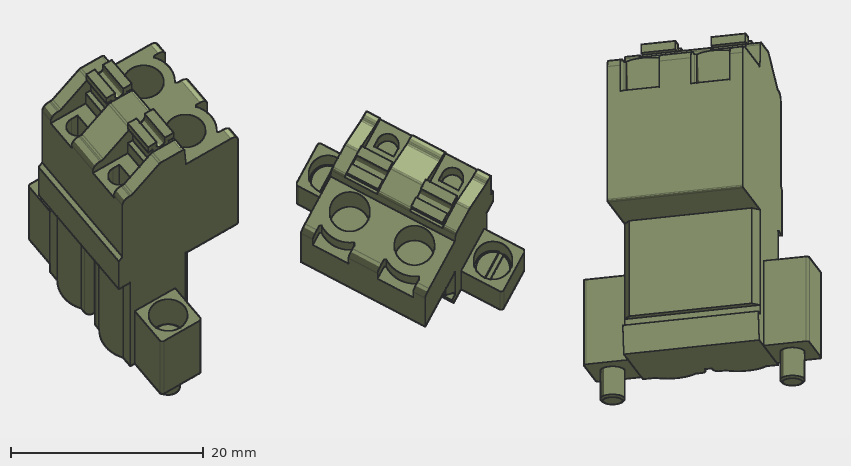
import cadquery as cq
import math


TOTAL_HEIGHT = 38.03
TOTAL_WIDTH = 24.3
POLE_PITCH = 7.6
HOUSING_WIDTH = 14.6

SCREW_TIP_DROP = 3.35
LEVER_TOP = TOTAL_HEIGHT - SCREW_TIP_DROP
TOWER_TOP = 33.5
BLOCK_TOP = 30.65
BLOCK_BOTTOM = 14.68
COLLAR_TOP = 20.0
COLLAR_BOTTOM = 15.02
LATCH_TOP = 3.08
RIB_BOTTOM = 4.05

BLOCK_BACK = 10.5
BLOCK_FRONT = -4.1
COLLAR_FRONT = -4.55
PLUG_BACK = 3.85
PLUG_FRONT = -3.1
RIB_BACK = 4.55
LATCH_TOE_BACK = 4.2
TOWER_BACK_FOOT = 3.9
TOWER_BACK_TOP = 3.73
TOWER_FRONT_TOP = 0.65
TOWER_FRONT_FOOT = -2.9

BLOCK_ROUND = 0.9
BLOCK_BOTTOM_ROUND = 0.23
TOWER_BACK_ROUND = 0.35
TOWER_SLOPE_ROUND = 0.38

BULGE_CHORD = 4.37
BULGE_RISE = 0.7
GROOVE_WIDTH = 0.75
GROOVE_DEPTH = 0.95
GROOVE_LIP_ROUND = 0.65

WIRE_HOLE_DIAMETER = 4.2
WIRE_HOLE_Y = 6.27
WIRE_HOLE_DEPTH = 7.6
RELIEF_FRONT = 8.95
RELIEF_WALL_RADIUS = 3.27
RELIEF_DEPTH = 3.8
RELIEF_CORNER_ROUND = 0.23

POCKET_INNER_X = 1.95
POCKET_OUTER_X = 5.75
POCKET_FLOOR = 29.32
LEDGE_FRONT = 0.3
LEDGE_TOP = 31.15
BACK_SHELF_Z = 33.15
TEST_WIDTH = 2.32
TEST_BACK = -1.25
TEST_FRONT = -3.25
TEST_DEPTH = 3.8

LEVER_WIDTH = 3.7
LEVER_HEAD_LENGTH = 3.25
LEVER_HEAD_HEIGHT = 0.95
LEVER_STEM_LENGTH = 2.0
LEVER_Y = 1.9
LEVER_NOTCH_WIDTH = 1.03
LEVER_NOTCH_DEPTH = 1.1

FLANGE_DEPTH = 5.1
FLANGE_HEIGHT = 9.47
FLANGE_CORNER_ROUND = 0.3
FLANGE_BORE_DIAMETER = 4.05
FLANGE_BORE_FLOOR = 3.05

SCREW_X = 9.7
SHANK_DIAMETER = 2.55
SHANK_TIP_CHAMFER = 0.23
HEAD_DIAMETER = 3.88
HEAD_HEIGHT = 2.3
HEAD_CHAMFER = 0.2
SCREW_SLOT_WIDTH = 0.57
SCREW_SLOT_DEPTH = 0.75

POLE_XS = (-POLE_PITCH / 2, POLE_PITCH / 2)
SIDES = (-1, 1)


def box(x_range, y_range, z_range):
    """Axis-aligned block between two limits on each axis."""
    (x0, x1), (y0, y1), (z0, z1) = (sorted(limits) for limits in (x_range, y_range, z_range))
    return cq.Workplane("XY").box(x1 - x0, y1 - y0, z1 - z0, centered=False).translate((x0, y0, z0))


def plan(z):
    """Sketch plane parallel to XY at height z."""
    return cq.Workplane("XY").workplane(offset=z)


def at(y, z):
    """Selector for the X-running edge nearest to a point of the side profile."""
    return cq.selectors.NearestToPointSelector((0, y, z))


def housing_body():
    """Side profile of block, tower, collar and plug, swept across the width."""
    collar_chamfer = BLOCK_FRONT - COLLAR_FRONT
    profile = [
        (LATCH_TOE_BACK, 0),
        (RIB_BACK, LATCH_TOP),
        (PLUG_BACK, LATCH_TOP),
        (PLUG_BACK, BLOCK_BOTTOM),
        (BLOCK_BACK, BLOCK_BOTTOM),
        (BLOCK_BACK, BLOCK_TOP),
        (TOWER_BACK_FOOT, BLOCK_TOP),
        (TOWER_BACK_TOP, TOWER_TOP),
        (TOWER_FRONT_TOP, TOWER_TOP),
        (TOWER_FRONT_FOOT, BLOCK_TOP),
        (BLOCK_FRONT, BLOCK_TOP),
        (BLOCK_FRONT, COLLAR_TOP + collar_chamfer),
        (COLLAR_FRONT, COLLAR_TOP),
        (COLLAR_FRONT, COLLAR_BOTTOM),
        (PLUG_FRONT, COLLAR_BOTTOM),
        (PLUG_FRONT, 0),
    ]
    body = cq.Workplane("YZ").polyline(profile).close().extrude(HOUSING_WIDTH / 2, both=True)
    body = body.edges(at(BLOCK_BACK, BLOCK_TOP)).fillet(BLOCK_ROUND)
    body = body.edges(at(BLOCK_FRONT, BLOCK_TOP)).fillet(BLOCK_ROUND)
    body = body.edges(at(BLOCK_BACK, BLOCK_BOTTOM)).fillet(BLOCK_BOTTOM_ROUND)
    body = body.edges(at(TOWER_BACK_TOP, TOWER_TOP)).fillet(TOWER_BACK_ROUND)
    body = body.edges(at(TOWER_FRONT_TOP, TOWER_TOP)).fillet(TOWER_SLOPE_ROUND)
    return body.edges(at(TOWER_FRONT_FOOT, BLOCK_TOP)).fillet(TOWER_SLOPE_ROUND)


def back_rib():
    """Rib on the back of the plug, with 45 degree flanks starting at the plug sides."""
    half_width = HOUSING_WIDTH / 2
    rise = RIB_BACK - PLUG_BACK
    outline = [
        (-half_width, PLUG_BACK),
        (half_width, PLUG_BACK),
        (half_width - rise, RIB_BACK),
        (rise - half_width, RIB_BACK),
    ]
    return plan(RIB_BOTTOM).polyline(outline).close().extrude(BLOCK_BOTTOM - RIB_BOTTOM)


def plug_bulge(x):
    """Shallow cylindrical swelling on the plug front at one pole."""
    return (
        plan(0)
        .moveTo(x - BULGE_CHORD / 2, PLUG_FRONT)
        .threePointArc((x, PLUG_FRONT - BULGE_RISE), (x + BULGE_CHORD / 2, PLUG_FRONT))
        .close()
        .extrude(COLLAR_BOTTOM)
    )


def plug_groove():
    """Groove between the bulges, with rounded lips."""
    half_width = GROOVE_WIDTH / 2
    half_mouth = half_width + GROOVE_LIP_ROUND
    lip_y = PLUG_FRONT + GROOVE_LIP_ROUND
    bottom_y = PLUG_FRONT + GROOVE_DEPTH
    arc_inset = GROOVE_LIP_ROUND * math.sqrt(0.5)
    return (
        plan(0)
        .moveTo(-half_mouth, PLUG_FRONT)
        .threePointArc((arc_inset - half_mouth, lip_y - arc_inset), (-half_width, lip_y))
        .lineTo(-half_width, bottom_y)
        .lineTo(half_width, bottom_y)
        .lineTo(half_width, lip_y)
        .threePointArc((half_mouth - arc_inset, lip_y - arc_inset), (half_mouth, PLUG_FRONT))
        .close()
        .extrude(COLLAR_BOTTOM)
    )


def wire_hole(x):
    """Round blind wire entry behind the tower."""
    hole = plan(BLOCK_TOP - WIRE_HOLE_DEPTH).center(x, WIRE_HOLE_Y)
    return hole.circle(WIRE_HOLE_DIAMETER / 2).extrude(WIRE_HOLE_DEPTH)


def back_relief(x):
    """Pocket in the top back edge that leaves a round wall about the wire entry."""
    bottom_z = BLOCK_TOP - RELIEF_DEPTH
    half_width = WIRE_HOLE_DIAMETER / 2
    pocket = box((x - half_width, x + half_width), (RELIEF_FRONT, BLOCK_BACK), (bottom_z, BLOCK_TOP))
    pocket = pocket.edges("|Z and <Y").fillet(RELIEF_CORNER_ROUND)
    wall = plan(bottom_z).center(x, WIRE_HOLE_Y).circle(RELIEF_WALL_RADIUS).extrude(RELIEF_DEPTH)
    return pocket.cut(wall)


def lever_pocket(side):
    """Stepped pocket: front floor, ledge under the lever stem, shelf behind it."""
    x_range = (side * POCKET_INNER_X, side * POCKET_OUTER_X)
    stem_back = LEVER_Y + LEVER_STEM_LENGTH / 2
    front = box(x_range, (BLOCK_FRONT, LEDGE_FRONT), (POCKET_FLOOR, TOWER_TOP))
    middle = box(x_range, (LEDGE_FRONT, stem_back), (LEDGE_TOP, TOWER_TOP))
    back = box(x_range, (stem_back, TOWER_BACK_FOOT), (BACK_SHELF_Z, TOWER_TOP))
    return front.union(middle).union(back)


def test_opening(x):
    """D-shaped opening in the pocket floor, round towards the front."""
    radius = TEST_WIDTH / 2
    arc_y = TEST_FRONT + radius
    return (
        plan(POCKET_FLOOR - TEST_DEPTH)
        .moveTo(x - radius, TEST_BACK)
        .lineTo(x - radius, arc_y)
        .threePointArc((x, TEST_FRONT), (x + radius, arc_y))
        .lineTo(x + radius, TEST_BACK)
        .close()
        .extrude(TEST_DEPTH)
    )


def make_housing():
    body = housing_body().union(back_rib()).cut(plug_groove())
    for side in SIDES:
        body = body.cut(lever_pocket(side))
    for x in POLE_XS:
        body = body.union(plug_bulge(x))
        body = body.cut(wire_hole(x)).cut(back_relief(x)).cut(test_opening(x))
    return body


def make_lever(side):
    """T-shaped release lever with a round-bottomed notch across its top."""
    x_range = (side * POCKET_INNER_X, side * (POCKET_INNER_X + LEVER_WIDTH))
    head_bottom = LEVER_TOP - LEVER_HEAD_HEIGHT
    head_y = (LEVER_Y - LEVER_HEAD_LENGTH / 2, LEVER_Y + LEVER_HEAD_LENGTH / 2)
    stem_y = (LEVER_Y - LEVER_STEM_LENGTH / 2, LEVER_Y + LEVER_STEM_LENGTH / 2)
    head = box(x_range, head_y, (head_bottom, LEVER_TOP))
    stem = box(x_range, stem_y, (LEDGE_TOP, head_bottom))

    notch_radius = LEVER_NOTCH_WIDTH / 2
    arc_z = LEVER_TOP - LEVER_NOTCH_DEPTH + notch_radius
    notch = box(x_range, (LEVER_Y - notch_radius, LEVER_Y + notch_radius), (arc_z, LEVER_TOP))
    notch_bottom = (
        cq.Workplane("YZ")
        .workplane(offset=min(x_range))
        .center(LEVER_Y, arc_z)
        .circle(notch_radius)
        .extrude(LEVER_WIDTH)
    )
    return head.union(stem).cut(notch).cut(notch_bottom)


def make_flange(side):
    """Block beside the plug, bored and counterbored for the screw."""
    x_range = (side * HOUSING_WIDTH / 2, side * TOTAL_WIDTH / 2)
    flange = box(x_range, (-FLANGE_DEPTH / 2, FLANGE_DEPTH / 2), (0, FLANGE_HEIGHT))
    outer_edges = "|Z and >X" if side > 0 else "|Z and <X"
    flange = flange.edges(outer_edges).fillet(FLANGE_CORNER_ROUND)
    shank_hole = plan(0).center(side * SCREW_X, 0).circle(SHANK_DIAMETER / 2).extrude(FLANGE_BORE_FLOOR)
    head_bore = (
        plan(FLANGE_BORE_FLOOR)
        .center(side * SCREW_X, 0)
        .circle(FLANGE_BORE_DIAMETER / 2)
        .extrude(FLANGE_HEIGHT - FLANGE_BORE_FLOOR)
    )
    return flange.cut(shank_hole).cut(head_bore)


def make_screw(side):
    """Slotted cheese-head screw whose head rests on the floor of the flange bore."""
    head_top = FLANGE_BORE_FLOOR + HEAD_HEIGHT
    shank = (
        plan(-SCREW_TIP_DROP)
        .circle(SHANK_DIAMETER / 2)
        .extrude(SCREW_TIP_DROP + FLANGE_BORE_FLOOR)
        .faces("<Z")
        .chamfer(SHANK_TIP_CHAMFER)
    )
    head = plan(FLANGE_BORE_FLOOR).circle(HEAD_DIAMETER / 2).extrude(HEAD_HEIGHT)
    head = head.faces(">Z").chamfer(HEAD_CHAMFER)
    slot = box(
        (-SCREW_SLOT_WIDTH / 2, SCREW_SLOT_WIDTH / 2),
        (-HEAD_DIAMETER / 2, HEAD_DIAMETER / 2),
        (head_top - SCREW_SLOT_DEPTH, head_top),
    )
    return shank.union(head).cut(slot).translate((side * SCREW_X, 0, 0))


housing = make_housing()
levers = [make_lever(side).val() for side in SIDES]
flanges = [make_flange(side).val() for side in SIDES]
screws = [make_screw(side).val() for side in SIDES]

result = cq.Compound.makeCompound([housing.val(), *levers, *flanges, *screws])